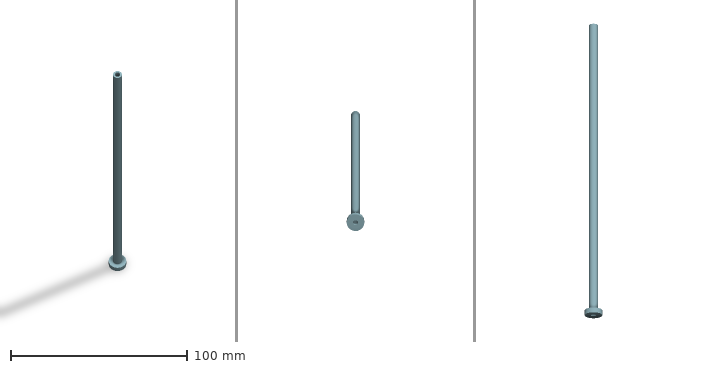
import cadquery as cq

total_length = 175.0
head_diameter = 10.0
head_height = 3.0
tube_diameter = head_diameter / 2
bore_diameter = 3.0
root_fillet_radius = 0.4

head = cq.Workplane("XY").circle(head_diameter / 2).extrude(head_height)

sleeve = head.faces(">Z").workplane().circle(tube_diameter / 2).extrude(total_length - head_height)

tube_root = cq.selectors.RadiusNthSelector(0)
sleeve = sleeve.faces("<Z[1]").edges(tube_root).fillet(root_fillet_radius)

result = sleeve.faces(">Z").workplane().hole(bore_diameter)